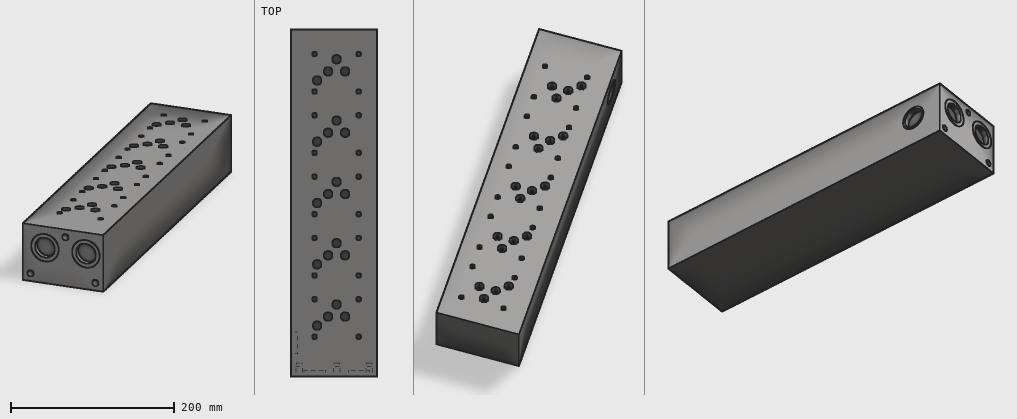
import cadquery as cq

width = 106.0
length = 425.0
height = 75.0

station_count = 5
station_span = 300.0
station_pitch = station_span / (station_count - 1)
back_margin = 30.0
valve_axis_x = 56.0
screw_spacing_x = 54.0
screw_spacing_y = 46.0
screw_diameter = 6.0
screw_depth = 17.0
valve_port_diameter = 10.5
valve_port_depth = 17.0
valve_ports = [
    (screw_spacing_x / 2, 6.5),
    (16.5, 21.2),
    (37.5, 21.2),
    (3.2, 32.5),
]

main_port_spacing = screw_spacing_x
main_port_drop = 28.0
main_port_diameter = 26.0
main_spotface_diameter = 36.0

side_port_y = 41.5
side_port_drop = 33.0
side_port_diameter = 26.5
side_spotface_diameter = 32.0

port_depth = 7.5
spotface_depth = 0.5

mount_margin = 10.0
mount_thread_diameter = 8.0
mount_thread_depth = 12.8
mount_core_diameter = 7.0
mount_core_depth = 17.0


def drill(point, direction, diameter, depth):
    """Cutter for a flat-bottomed hole starting at a point on the surface."""
    cylinder = cq.Solid.makeCylinder(diameter / 2, depth, cq.Vector(*point), cq.Vector(*direction))
    return cq.Workplane(cylinder)


def spotfaced_port(point, direction, diameter, spotface_diameter):
    """Cutter for a blind port with a shallow spotface around its mouth."""
    bore = drill(point, direction, diameter, port_depth)
    spotface = drill(point, direction, spotface_diameter, spotface_depth)
    return bore.union(spotface)


def valve_station(back_screw_y):
    """All holes of one valve station, as a list of cutters."""
    down = (0, 0, -1)
    left_screw_x = valve_axis_x - screw_spacing_x / 2
    cutters = []
    for x in (left_screw_x, left_screw_x + screw_spacing_x):
        for y in (back_screw_y, back_screw_y - screw_spacing_y):
            cutters.append(drill((x, y, height), down, screw_diameter, screw_depth))
    for right, forward in valve_ports:
        mouth = (left_screw_x + right, back_screw_y - forward, height)
        cutters.append(drill(mouth, down, valve_port_diameter, valve_port_depth))
    return cutters


def front_end_holes():
    """Two main ports and three stepped mounting holes, as a list of cutters."""
    inward = (0, 1, 0)
    cutters = []
    for side in (-1, 1):
        mouth = (valve_axis_x + side * main_port_spacing / 2, 0, height - main_port_drop)
        cutters.append(spotfaced_port(mouth, inward, main_port_diameter, main_spotface_diameter))
    mount_points = [
        (mount_margin, mount_margin),
        (width - mount_margin, mount_margin),
        (valve_axis_x, height - mount_margin),
    ]
    for x, z in mount_points:
        cutters.append(drill((x, 0, z), inward, mount_thread_diameter, mount_thread_depth))
        cutters.append(drill((x, 0, z), inward, mount_core_diameter, mount_core_depth))
    return cutters


cutters = front_end_holes()
for station in range(station_count):
    cutters += valve_station(length - back_margin - station * station_pitch)
side_mouth = (0, side_port_y, height - side_port_drop)
cutters.append(spotfaced_port(side_mouth, (1, 0, 0), side_port_diameter, side_spotface_diameter))

result = cq.Workplane("XY").box(width, length, height, centered=False)
for cutter in cutters:
    result = result.cut(cutter)